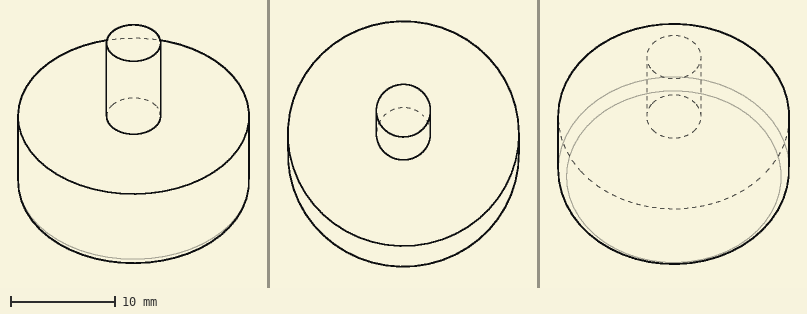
import cadquery as cq
import math

total_height = 23.3
pin_diameter = 5.2
pin_length = 9.5
head_diameter = 22.2
cone_slope = math.radians(22.0)
rim_radius = 1.27

pin_radius = pin_diameter / 2
head_radius = head_diameter / 2
head_height = total_height - pin_length


def make_head():
    """Cylinder with a conical underside, rounded where the two meet."""
    arc_center_r = head_radius - rim_radius
    arc_center_z = arc_center_r * math.tan(cone_slope) + rim_radius / math.cos(cone_slope)

    def point_on_rim(angle):
        """Point (r, z) on the rounding, at an angle measured up from the outward direction."""
        return (
            arc_center_r + rim_radius * math.cos(angle),
            arc_center_z + rim_radius * math.sin(angle),
        )

    cone_end_angle = cone_slope - math.pi / 2
    half_profile = (
        cq.Workplane("XZ")
        .lineTo(*point_on_rim(cone_end_angle))
        .threePointArc(point_on_rim(cone_end_angle / 2), point_on_rim(0))
        .lineTo(head_radius, head_height)
        .lineTo(0, head_height)
        .close()
    )
    return half_profile.revolve(360, (0, 0, 0), (0, 1, 0))


def make_pin():
    """Plain cylindrical pin standing on the flat top of the head."""
    return cq.Workplane("XY").workplane(offset=head_height).circle(pin_radius).extrude(pin_length)


result = make_head().union(make_pin())